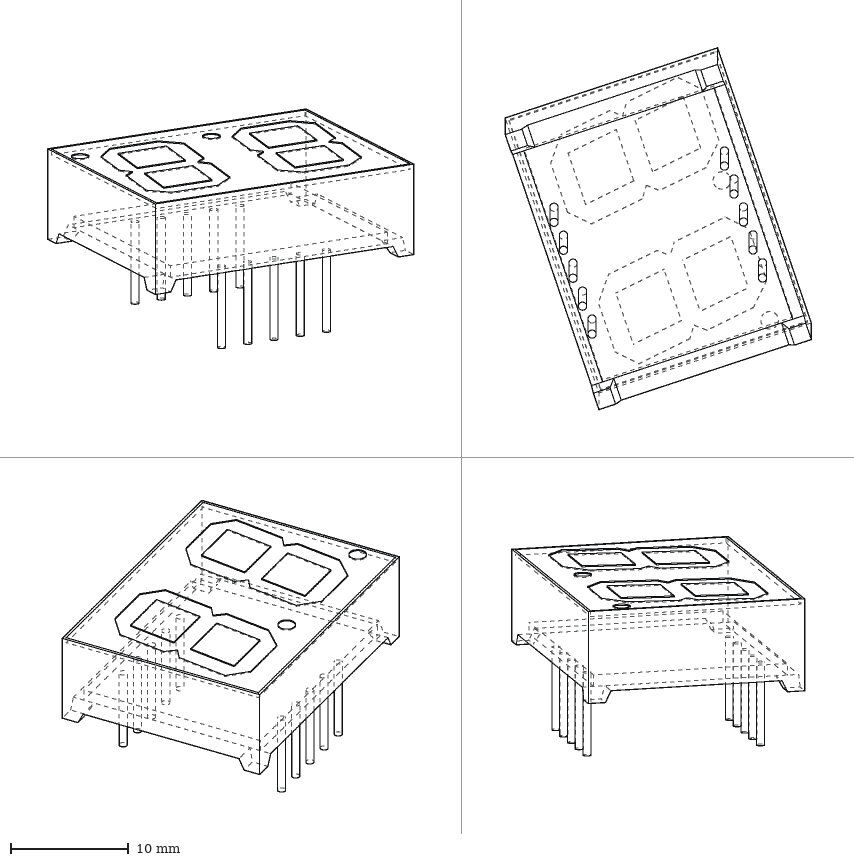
import cadquery as cq
import math


HOUSING_X = 19.0
HOUSING_Y = 25.0
HOUSING_TOP = 8.0
FOOT_HEIGHT = 1.0
FOOT_X = 1.5
FOOT_Y = 1.5
FOOT_FLARE = 0.5
CUT_MARGIN = 1.0

RIM_WIDTH = 0.25
PLATE_THICKNESS = 0.5
PLATE_X = HOUSING_X - 2 * RIM_WIDTH
PLATE_Y = HOUSING_Y - 2 * RIM_WIDTH

MARK_DEPTH = 0.1
DIGIT_PITCH = 12.7
DIGIT_SLANT = math.radians(8.0)
DIGIT_HALF_LENGTH = 7.07
DIGIT_HALF_WIDTH = 4.06
CHAMFER_X = 1.6
CHAMFER_Y = 1.83
LONG_CHAMFER_X = 1.8
LONG_CHAMFER_Y = 1.6
NOTCH_HALF_WIDTH_WIDE = 0.92
NOTCH_HALF_WIDTH_NARROW = 0.69
NOTCH_BOTTOM = 3.16
WINDOW_INNER = 0.88
WINDOW_OUTER = 5.40
WINDOW_HALF_WIDTH = 2.33
DOT_DIAMETER = 1.5
DOT_X = -6.22
DOT_OFFSET_Y = -4.8

BASE_X = 17.0
BASE_Y = 21.0
BASE_THICKNESS = 1.0
PIN_DIAMETER = 0.7
PIN_PITCH = 2.54
PIN_ROW_SPACING = 15.24
PINS_PER_ROW = 5
PIN_BOTTOM = -6.2

digit_centers_y = [-DIGIT_PITCH / 2, DIGIT_PITCH / 2]


def foot_gap(plane, half_width, depth):
    """Trapezoid channel between the feet, running right through the housing."""
    root = half_width - FOOT_FLARE
    widening = FOOT_FLARE * CUT_MARGIN / FOOT_HEIGHT
    low = half_width + widening
    return (
        cq.Workplane(plane)
        .polyline([(-low, -CUT_MARGIN), (low, -CUT_MARGIN), (root, FOOT_HEIGHT), (-root, FOOT_HEIGHT)])
        .close()
        .extrude(depth, both=True)
    )


def make_plate_blank():
    return (
        cq.Workplane("XY", origin=(0, 0, HOUSING_TOP - PLATE_THICKNESS))
        .rect(PLATE_X, PLATE_Y)
        .extrude(PLATE_THICKNESS)
    )


def make_base_slab():
    return (
        cq.Workplane("XY", origin=(0, 0, FOOT_HEIGHT))
        .rect(BASE_X, BASE_Y)
        .extrude(BASE_THICKNESS)
    )


def make_housing():
    block = cq.Workplane("XY").rect(HOUSING_X, HOUSING_Y).extrude(HOUSING_TOP)
    gap_along_y = foot_gap("XZ", HOUSING_X / 2 - FOOT_X, HOUSING_Y)
    gap_along_x = foot_gap("YZ", HOUSING_Y / 2 - FOOT_Y, HOUSING_X)
    return block.cut(gap_along_y).cut(gap_along_x).cut(make_plate_blank()).cut(make_base_slab())


def slanted(points, center_y):
    """Shear upright digit points along Y and move them to their digit."""
    return [(x, center_y + y - x * math.tan(DIGIT_SLANT)) for x, y in points]


def sunk_shape(points):
    return (
        cq.Workplane("XY", origin=(0, 0, HOUSING_TOP - MARK_DEPTH))
        .polyline(points)
        .close()
        .extrude(MARK_DEPTH + CUT_MARGIN)
    )


def digit_cutter(center_y):
    """Figure eight: a notched, chamfered outline around two windows."""
    length = DIGIT_HALF_LENGTH
    width = DIGIT_HALF_WIDTH
    outline = [
        (-length, width - CHAMFER_Y),
        (-length + CHAMFER_X, width),
        (-NOTCH_HALF_WIDTH_NARROW, width),
        (0, NOTCH_BOTTOM),
        (NOTCH_HALF_WIDTH_WIDE, width),
        (length - CHAMFER_X, width),
        (length, width - CHAMFER_Y),
        (length, -width + CHAMFER_Y),
        (length - CHAMFER_X, -width),
        (NOTCH_HALF_WIDTH_NARROW, -width),
        (0, -NOTCH_BOTTOM),
        (-NOTCH_HALF_WIDTH_WIDE, -width),
        (-length + LONG_CHAMFER_X, -width),
        (-length, -width + LONG_CHAMFER_Y),
    ]
    cutter = sunk_shape(slanted(outline, center_y))
    for side in (-1, 1):
        window = [
            (side * WINDOW_INNER, -WINDOW_HALF_WIDTH),
            (side * WINDOW_OUTER, -WINDOW_HALF_WIDTH),
            (side * WINDOW_OUTER, WINDOW_HALF_WIDTH),
            (side * WINDOW_INNER, WINDOW_HALF_WIDTH),
        ]
        cutter = cutter.cut(sunk_shape(slanted(window, center_y)))
    return cutter


def dot_cutter(center_y):
    return (
        cq.Workplane("XY", origin=(DOT_X, center_y + DOT_OFFSET_Y, HOUSING_TOP - MARK_DEPTH))
        .circle(DOT_DIAMETER / 2)
        .extrude(MARK_DEPTH + CUT_MARGIN)
    )


def make_face_plate():
    plate = make_plate_blank()
    for center_y in digit_centers_y:
        plate = plate.cut(digit_cutter(center_y)).cut(dot_cutter(center_y))
    return plate


def make_pin_base():
    """Slab with two rows of round pins, all one solid."""
    pins = (
        cq.Workplane("XY", origin=(0, 0, PIN_BOTTOM))
        .rarray(PIN_ROW_SPACING, PIN_PITCH, 2, PINS_PER_ROW)
        .circle(PIN_DIAMETER / 2)
        .extrude(FOOT_HEIGHT + BASE_THICKNESS - PIN_BOTTOM)
    )
    return make_base_slab().union(pins)


housing = make_housing()
face_plate = make_face_plate()
pin_base = make_pin_base()

result = cq.Compound.makeCompound([housing.val(), face_plate.val(), pin_base.val()])